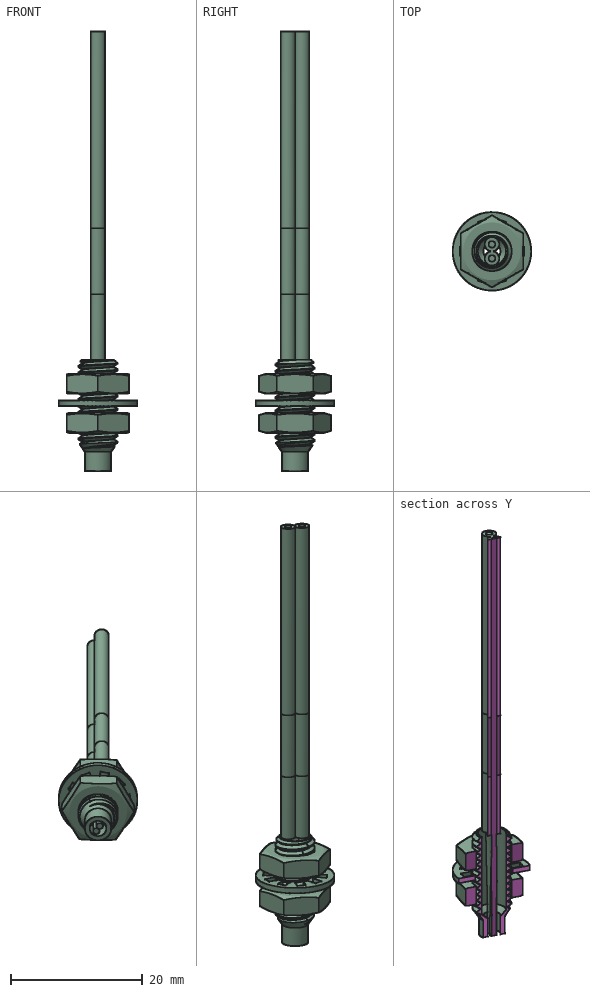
import cadquery as cq
import math

total_length = 67
tip_projection = 0.02
tail_length = 2.95
housing_top = 17.0

tail_diameter = 4.0
thread_diameter = 6.0
thread_turns = 14
root_width = 0.1
groove_clearance = 0.08
turn_span = 1.05
turn_oversize = 0.01
mouth_diameter = 4.3
bore_diameter = 2.55
funnel_top = 4.0
thread_depth = 0.6
lead_in_height = 1.5
crest_width = 0.15
groove_start_angle = 194

nut_flats = 9.5
nut_face_diameter = 8.8
nut_height = 3.1
nut_chamfer_angle = 17
nut_bottoms = (5.8, 11.8)

washer_diameter = 12.0
washer_thickness = 0.9
washer_bottom = 9.9
washer_bore = 6.3
slot_count = 10
slot_width = 1.35
slot_outer_diameter = 9.8

jacket_diameter = 2.2
core_spacing = 2.15
fibre_diameter = 1.0
upper_jacket_length = 30.0
middle_jacket_length = 10.0

housing_bottom = tip_projection
thread_bottom = housing_bottom + tail_length
thread_length = housing_top - thread_bottom
pitch = thread_length / thread_turns
thread_radius = thread_diameter / 2
tail_radius = tail_diameter / 2
root_radius = thread_radius - thread_depth


def revolved(points):
    """Solid of revolution about Z from (radius, height) points."""
    return cq.Workplane("XZ").polyline(points).close().revolve(360, (0, 0, 0), (0, 1, 0))


def make_groove_turn(oversize):
    """One right-hand turn of the V groove, starting half a pitch above the tail."""
    flank_slope = (pitch - crest_width - root_width) / 2 / thread_depth
    root_half = root_width / 2 + oversize
    outer_half = root_half + flank_slope * (thread_depth + groove_clearance)
    inner_radius = root_radius - oversize
    outer_radius = thread_radius + groove_clearance
    helix = cq.Wire.makeHelix(pitch, turn_span * pitch, inner_radius)
    profile = cq.Workplane("XZ").polyline([
        (inner_radius, -root_half),
        (outer_radius, -outer_half),
        (outer_radius, outer_half),
        (inner_radius, root_half),
    ]).close()
    turn = profile.sweep(cq.Workplane(helix), isFrenet=True)
    return turn.rotate((0, 0, 0), (0, 0, 1), groove_start_angle).translate((0, 0, thread_bottom + pitch / 2))


def make_housing():
    mouth_radius = mouth_diameter / 2
    bore_radius = bore_diameter / 2
    housing = revolved([
        (bore_radius, housing_bottom),
        (tail_radius, housing_bottom),
        (tail_radius, thread_bottom),
        (thread_radius, thread_bottom + lead_in_height),
        (thread_radius, housing_top - thread_depth),
        (root_radius, housing_top),
        (mouth_radius, housing_top),
        (mouth_radius, funnel_top),
        (bore_radius, funnel_top - mouth_radius + bore_radius),
    ])
    groove_turns = [make_groove_turn(turn_oversize), make_groove_turn(0)]
    for turn in range(thread_turns):
        housing = housing.cut(groove_turns[turn % 2].translate((0, 0, turn * pitch)))
    return housing


def make_nut(bottom):
    corner_radius = nut_flats / math.sqrt(3)
    face_radius = nut_face_diameter / 2
    drop = (corner_radius - face_radius) * math.tan(math.radians(nut_chamfer_angle))
    prism = cq.Workplane("XY").polygon(6, 2 * corner_radius).extrude(nut_height)
    prism = prism.rotate((0, 0, 0), (0, 0, 1), 30)
    chamfer_envelope = revolved([
        (0, 0),
        (face_radius, 0),
        (corner_radius, drop),
        (corner_radius, nut_height - drop),
        (face_radius, nut_height),
        (0, nut_height),
    ])
    hole = cq.Workplane("XY").circle(thread_radius).extrude(nut_height)
    return prism.intersect(chamfer_envelope).cut(hole).translate((0, 0, bottom))


def make_washer():
    ring = cq.Workplane("XY").circle(washer_diameter / 2).circle(washer_bore / 2)
    washer = ring.extrude(washer_thickness)
    slot_length = slot_outer_diameter / 2
    slots = (
        cq.Workplane("XY")
        .polarArray(slot_length / 2, 0, 360, slot_count)
        .rect(slot_length, slot_width)
        .extrude(washer_thickness)
    )
    return washer.cut(slots).translate((0, 0, washer_bottom))


def make_jacket(bottom, top):
    centres = [(0, core_spacing / 2), (0, -core_spacing / 2)]
    cores = cq.Workplane("XY").workplane(offset=bottom).pushPoints(centres)
    sleeves = cores.circle(jacket_diameter / 2).extrude(top - bottom)
    return sleeves.cut(cores.circle(fibre_diameter / 2).extrude(top - bottom))


def make_fibre(side):
    """Fibre that runs straight in the cable and bends towards the axis inside the housing."""
    cable_y = side * core_spacing / 2
    tip_y = side * fibre_diameter / 2
    path = (
        cq.Workplane("YZ")
        .moveTo(tip_y, 0)
        .lineTo(tip_y, thread_bottom)
        .spline([(cable_y, housing_top)], tangents=[(0, 1), (0, 1)], includeCurrent=True)
        .lineTo(cable_y, total_length)
    )
    return cq.Workplane("XY").center(0, tip_y).circle(fibre_diameter / 2).sweep(path)


housing = make_housing()
nuts = [make_nut(bottom) for bottom in nut_bottoms]
washer = make_washer()

jacket_joints = [
    housing_top,
    total_length - upper_jacket_length - middle_jacket_length,
    total_length - upper_jacket_length,
    total_length,
]
jackets = [make_jacket(bottom, top) for bottom, top in zip(jacket_joints, jacket_joints[1:])]
fibres = [make_fibre(side) for side in (-1, 1)]

bodies = [housing, *nuts, washer, *jackets, *fibres]
result = cq.Compound.makeCompound([body.val() for body in bodies])